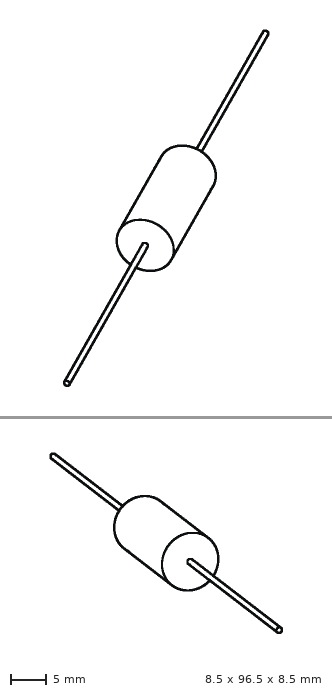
import cadquery as cq

overall_length = 96.5
body_length = 20.5
body_diameter = 8.5
lead_diameter = 0.85


def cylinder_along_y(diameter, length):
    """Cylinder on the Y axis, centred at the origin."""
    return cq.Workplane("XZ", origin=(0, length / 2, 0)).circle(diameter / 2).extrude(length)


body = cylinder_along_y(body_diameter, body_length)

leads = cylinder_along_y(lead_diameter, overall_length)

result = body.union(leads)